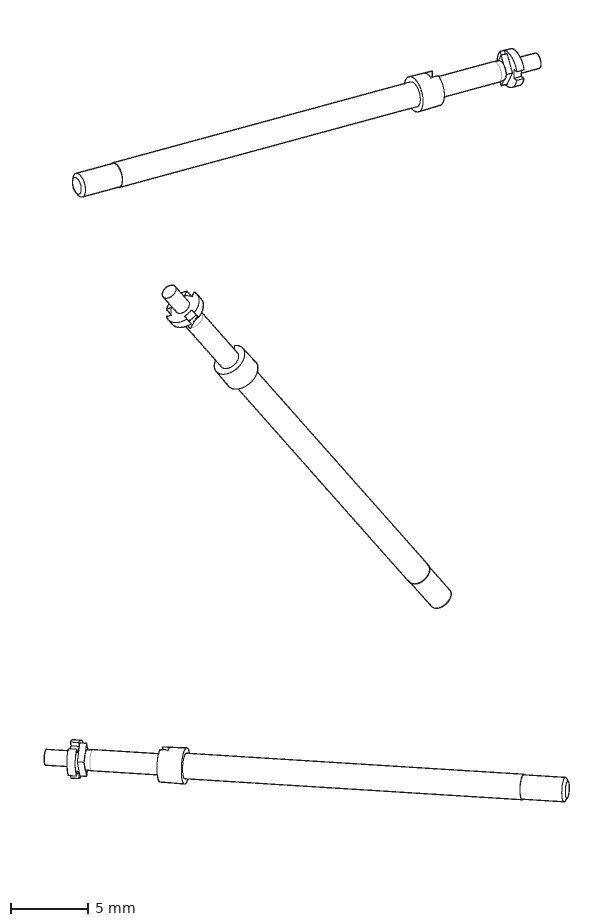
import cadquery as cq


total_length = 34.7
tip_length = 2.95
body_length = 22.45
collar_length = 1.63
neck_length = 0.38
lug_length = 0.45
flange_length = 0.55
tail_length = 1.7

tip_diameter = 1.6
tip_face_diameter = 1.1
body_diameter = 1.65
collar_front_diameter = 2.35
collar_rear_diameter = 2.3
barrel_diameter = 1.4
neck_diameter = 1.32
flange_diameter = 2.5
tail_diameter = 1.05

tip_chamfer_length = 0.17

notch_width = 0.73
notch_length = 0.55

slot_count = 3
slot_width = 0.62
slot_floor_radius = 0.87

lug_height = 2.22
lug_width = 1.35

tip_rear = tip_length
body_rear = tip_rear + body_length
collar_rear = body_rear + collar_length
flange_rear = total_length - tail_length
flange_front = flange_rear - flange_length
lug_front = flange_front - lug_length
barrel_rear = lug_front - neck_length


def revolve_outline(points):
    """Revolve a closed half outline of (radius, Y) points about the Y axis."""
    return cq.Workplane("XY").polyline(points).close().revolve(360, (0, 0, 0), (0, 1, 0))


def make_shank():
    """Everything from the tip to the neck, which narrows slightly towards the lug."""
    return revolve_outline([
        (0, 0),
        (tip_face_diameter / 2, 0),
        (tip_diameter / 2, tip_chamfer_length),
        (tip_diameter / 2, tip_rear),
        (body_diameter / 2, tip_rear),
        (body_diameter / 2, body_rear),
        (collar_front_diameter / 2, body_rear),
        (collar_rear_diameter / 2, collar_rear),
        (barrel_diameter / 2, collar_rear),
        (barrel_diameter / 2, barrel_rear),
        (neck_diameter / 2, lug_front),
        (0, lug_front),
    ])


def make_flanged_tail():
    """The flange and the thin tail behind it."""
    return revolve_outline([
        (0, flange_front),
        (flange_diameter / 2, flange_front),
        (flange_diameter / 2, flange_rear),
        (tail_diameter / 2, flange_rear),
        (tail_diameter / 2, total_length),
        (0, total_length),
    ])


def make_lug():
    """Diamond prism standing upright against the front face of the flange."""
    corners = [
        (lug_width / 2, 0),
        (0, lug_height / 2),
        (-lug_width / 2, 0),
        (0, -lug_height / 2),
    ]
    return (
        cq.Workplane("XZ", origin=(0, lug_front, 0))
        .polyline(corners)
        .close()
        .extrude(-lug_length)
    )


def make_flange_slots():
    """Straight slots spaced evenly around the flange, the first one opening towards +X."""
    slot_depth = flange_diameter / 2 - slot_floor_radius
    first_slot = cq.Workplane("XY").box(
        slot_depth, flange_length, slot_width, centered=(False, False, True)
    ).translate((slot_floor_radius, flange_front, 0))
    slots = cq.Workplane("XY")
    for index in range(slot_count):
        slots = slots.add(first_slot.rotate((0, 0, 0), (0, 1, 0), index * 360 / slot_count))
    return slots.combine()


def make_collar_notch():
    """Block that opens the top of the collar down to the barrel surface."""
    block = cq.Workplane("XY").box(
        notch_width, notch_length, collar_front_diameter / 2, centered=(True, False, False)
    ).translate((0, collar_rear - notch_length, 0))
    barrel = (
        cq.Workplane("XZ", origin=(0, collar_rear - notch_length, 0))
        .circle(barrel_diameter / 2)
        .extrude(-notch_length)
    )
    return block.cut(barrel)


result = (
    make_shank()
    .union(make_lug())
    .union(make_flanged_tail())
    .cut(make_flange_slots())
    .cut(make_collar_notch())
)